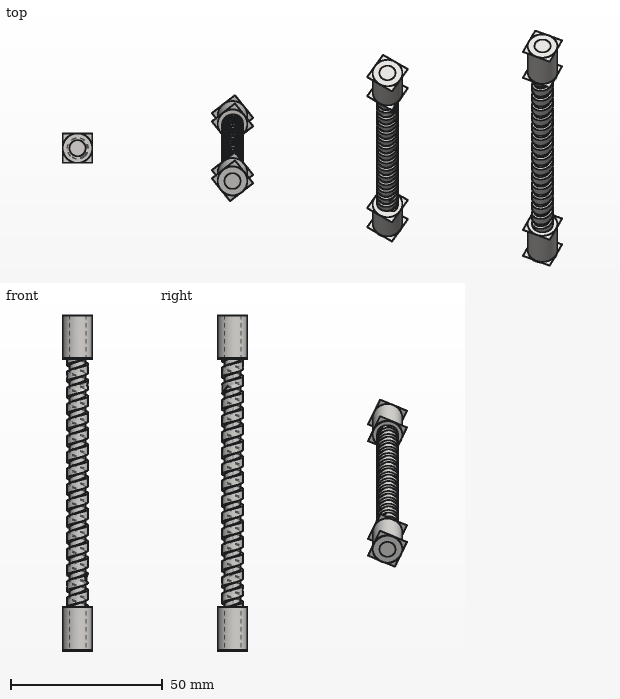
import cadquery as cq
import math

total_length = 110.8
sleeve_length = 14.6
threaded_length = total_length - 2 * sleeve_length

sleeve_diameter = 9.7
plate_side = sleeve_diameter
plate_thickness = 0.05
lower_plate_inset = 0.4
upper_plate_inset = 0.1

core_diameter = 5.3
crest_diameter = 7.0
core_radius = core_diameter / 2
crest_radius = crest_diameter / 2
pitch = 5.3
groove_floor_width = 1.8
flank_run = 0.28
first_groove_height = 1.4
root_overlap = 0.2
lead_in_turns = 2


def make_thread():
    """Right-handed trapezoidal thread, trimmed flat to the threaded length."""
    start = sleeve_length + first_groove_height - lead_in_turns * pitch
    turns = math.ceil(threaded_length / pitch) + lead_in_turns
    helix = cq.Wire.makeHelix(pitch, pitch * turns, core_radius)

    crest_inset = groove_floor_width / 2 + flank_run
    root_radius = core_radius - root_overlap
    flank_slope = flank_run / (crest_radius - core_radius)
    root_inset = groove_floor_width / 2 - root_overlap * flank_slope
    sweep = (
        cq.Workplane("XZ")
        .polyline([
            (root_radius, root_inset),
            (crest_radius, crest_inset),
            (crest_radius, pitch - crest_inset),
            (root_radius, pitch - root_inset),
        ])
        .close()
        .sweep(cq.Workplane(obj=helix), isFrenet=True)
        .translate((0, 0, start))
    )
    threaded_zone = (
        cq.Workplane()
        .workplane(offset=sleeve_length)
        .rect(sleeve_diameter, sleeve_diameter)
        .extrude(threaded_length)
    )
    return sweep.intersect(threaded_zone)


def make_rod():
    """Core over the full length, with the thread between the two sleeves."""
    core = cq.Workplane().circle(core_radius).extrude(total_length)
    return core.union(make_thread())


def make_plate(bottom):
    """Thin square plate whose lower face is at height `bottom`."""
    return cq.Workplane().workplane(offset=bottom).rect(plate_side, plate_side).extrude(plate_thickness)


def make_sleeve(bottom):
    """Bored cylinder whose lower end is at height `bottom`, with its two square plates."""
    upper_plate_bottom = sleeve_length - upper_plate_inset - plate_thickness
    body = cq.Workplane().circle(sleeve_diameter / 2).extrude(sleeve_length)
    for plate_bottom in (lower_plate_inset, upper_plate_bottom):
        body = body.union(make_plate(plate_bottom))
    bore = cq.Workplane().circle(core_radius).extrude(sleeve_length)
    return body.cut(bore).translate((0, 0, bottom))


rod = make_rod()
sleeves = [make_sleeve(bottom) for bottom in (0, total_length - sleeve_length)]

bodies = [rod, *sleeves]
result = cq.Compound.makeCompound([body.solids().val() for body in bodies])